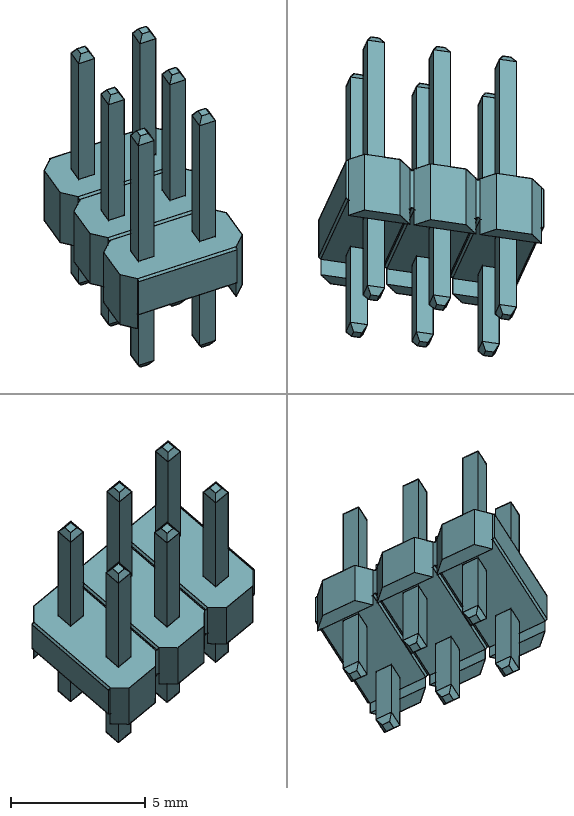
import cadquery as cq

pitch = 2.54
columns = 3
rows = 2

module_depth = rows * pitch
housing_height = 2.51
corner_chamfer = 0.5
edge_bevel = 0.085
channel_height = 0.69
web_depth = module_depth - 2 * corner_chamfer
module_width = pitch - 2 * edge_bevel

pin_width = 0.66
pin_length = 11.6
pin_below_housing = 3.0
tip_height = 0.29
tip_width = 0.32

column_positions = [(i - (columns - 1) / 2) * pitch for i in range(columns)]
row_positions = [(j - (rows - 1) / 2) * pitch for j in range(rows)]
pin_positions = [(x, y) for x in column_positions for y in row_positions]


def make_module(x):
    """One octagonal block with a foot at each end, plus the web that joins it to its neighbours."""
    block = (
        cq.Workplane("XY")
        .box(module_width, module_depth, housing_height, centered=(True, True, False))
        .edges("|Z")
        .chamfer(corner_chamfer)
    )
    channel = cq.Workplane("XY").box(pitch, web_depth, channel_height, centered=(True, True, False))
    web = (
        cq.Workplane("XY", origin=(0, 0, channel_height))
        .box(pitch, web_depth, housing_height - channel_height, centered=(True, True, False))
        .edges("|Y")
        .chamfer(edge_bevel)
    )
    return block.cut(channel).union(web).translate((x, 0, 0))


def make_pin_hole(x, y):
    """Square cutter for the passage of one pin through the housing."""
    return (
        cq.Workplane("XY", origin=(x, y, 0))
        .rect(pin_width, pin_width)
        .extrude(housing_height)
    )


def make_housing():
    """All modules fused side by side, with a square hole for every pin."""
    body = make_module(column_positions[0])
    for x in column_positions[1:]:
        body = body.union(make_module(x))
    for x, y in pin_positions:
        body = body.cut(make_pin_hole(x, y))
    return body


def make_tip():
    """Truncated pyramid, wide end at Z = 0."""
    return (
        cq.Workplane("XY")
        .rect(pin_width, pin_width)
        .workplane(offset=tip_height)
        .rect(tip_width, tip_width)
        .loft(ruled=True)
    )


def make_pin(x, y):
    """Square pin with a tapered tip at both ends."""
    shank_length = pin_length - 2 * tip_height
    shank = cq.Workplane("XY").rect(pin_width, pin_width).extrude(shank_length)
    top_tip = make_tip().translate((0, 0, shank_length))
    bottom_tip = make_tip().mirror("XY")
    pin = shank.union(top_tip).union(bottom_tip)
    return pin.translate((x, y, tip_height - pin_below_housing))


housing = make_housing()
pins = [make_pin(x, y) for x, y in pin_positions]

result = cq.Compound.makeCompound([housing.val(), *[pin.val() for pin in pins]])